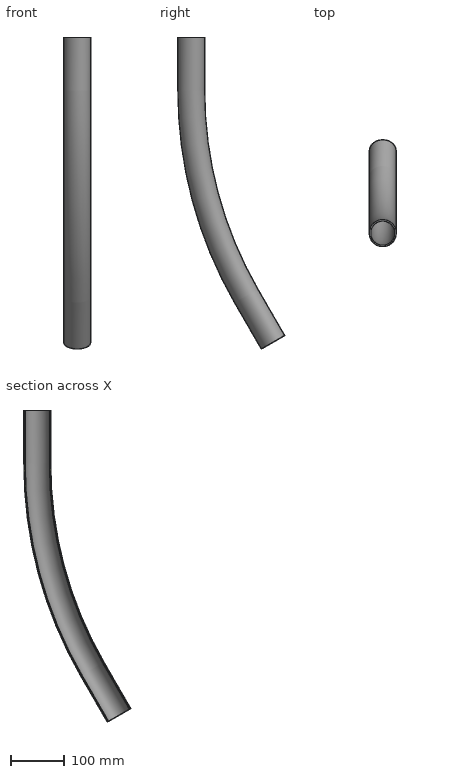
import cadquery as cq
import math

total_height = 583.0
outer_diameter = 51.0
inner_diameter = 45.0
straight_length = 100.0
bend_angle = 30.0

sin_bend = math.sin(math.radians(bend_angle))
cos_bend = math.cos(math.radians(bend_angle))
end_tilt_height = outer_diameter / 2 * sin_bend
bend_height = total_height - straight_length * (1 + cos_bend) - end_tilt_height
bend_radius = bend_height / sin_bend


def annulus(workplane):
    """Draw the tube cross-section on a workplane."""
    return workplane.circle(outer_diameter / 2).circle(inner_diameter / 2)


upper_end = annulus(cq.Workplane("XY")).extrude(straight_length)

bend = annulus(cq.Workplane("XY")).revolve(
    bend_angle, (0, bend_radius, 0), (1, bend_radius, 0)
)

lower_plane = cq.Plane(
    origin=(0, bend_radius * (1 - cos_bend), -bend_height),
    xDir=(1, 0, 0),
    normal=(0, sin_bend, -cos_bend),
)
lower_end = annulus(cq.Workplane(lower_plane)).extrude(straight_length)

result = upper_end.union(bend).union(lower_end)